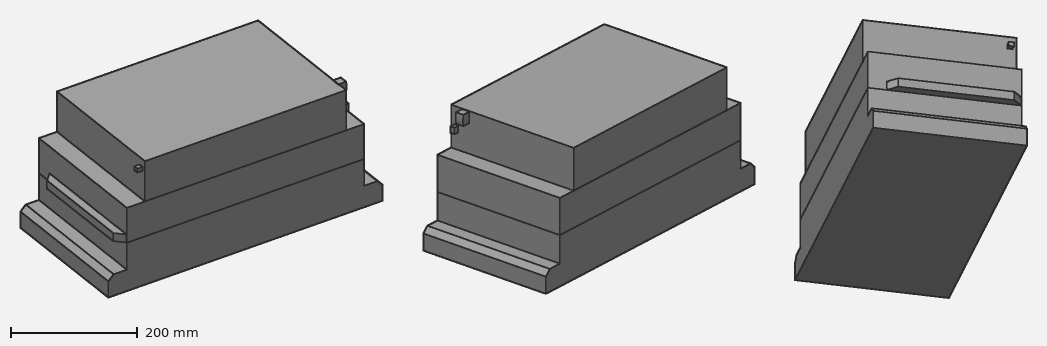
import cadquery as cq

LENGTH = 520.0
WIDTH = 250.0
HEIGHT = 230.0
SIDE_X = WIDTH / 2

FOOT_HEIGHT = 40.0
FOOT_BEVEL = 10.0
FOOT_STEP = 35.0
BASE_HEIGHT = 90.0

MIDDLE_LENGTH = LENGTH - 2 * FOOT_STEP
MIDDLE_TOP = 155.0
UPPER_STEP = 34.5
UPPER_LENGTH = MIDDLE_LENGTH - 2 * UPPER_STEP
MIDDLE_FRONT_Y = -MIDDLE_LENGTH / 2
UPPER_FRONT_Y = -UPPER_LENGTH / 2
UPPER_BACK_Y = UPPER_LENGTH / 2

RAIL_DEPTH = 15.0
RAIL_HEIGHT = 15.0
RAIL_LENGTH = 218.5
RAIL_SIDE_GAP = 1.0

PEG_WIDTH = 8.5
PEG_DEPTH = 10.0
PEG_SIDE_GAP = 7.0
PEG_X = SIDE_X - PEG_SIDE_GAP - PEG_WIDTH / 2
FRONT_PEG_HEIGHT = 7.5
FRONT_PEG_DROP = 14.0
BACK_PEG_HEIGHT = 11.5
BACK_PEG_DROP = 32.0

KNOB_WIDTH = 15.0
KNOB_HEIGHT = 20.0
KNOB_DEPTH = 15.0
KNOB_BULGE = 1.0
KNOB_DROP = 1.0
KNOB_SIDE_GAP = 22.5
KNOB_X = SIDE_X - KNOB_SIDE_GAP - KNOB_WIDTH / 2


def block(width, length, height, center_x, front_y, bottom_z):
    """Rectangular block given by its X centre, front face and underside."""
    box = cq.Workplane("XY").box(width, length, height, centered=(True, False, False))
    return box.translate((center_x, front_y, bottom_z))


def make_base():
    body = block(WIDTH, MIDDLE_LENGTH, BASE_HEIGHT, 0, MIDDLE_FRONT_Y, 0)
    foot = block(WIDTH, LENGTH, FOOT_HEIGHT, 0, -LENGTH / 2, 0)
    foot = foot.faces("<Y or >Y").edges(">Z").chamfer(FOOT_BEVEL)
    return body.union(foot)


def make_middle():
    return block(WIDTH, MIDDLE_LENGTH, MIDDLE_TOP - BASE_HEIGHT, 0, MIDDLE_FRONT_Y, BASE_HEIGHT)


def make_upper():
    return block(WIDTH, UPPER_LENGTH, HEIGHT - MIDDLE_TOP, 0, UPPER_FRONT_Y, MIDDLE_TOP)


def make_rail():
    right_x = SIDE_X - RAIL_SIDE_GAP
    left_x = right_x - RAIL_LENGTH
    outer_y = MIDDLE_FRONT_Y - RAIL_DEPTH
    return (
        cq.Workplane("XY", origin=(0, 0, BASE_HEIGHT))
        .moveTo(left_x, MIDDLE_FRONT_Y)
        .lineTo(left_x + RAIL_DEPTH, outer_y)
        .lineTo(right_x - RAIL_DEPTH, outer_y)
        .lineTo(right_x, MIDDLE_FRONT_Y)
        .close()
        .extrude(RAIL_HEIGHT)
    )


def make_front_peg():
    bottom_z = HEIGHT - FRONT_PEG_DROP - FRONT_PEG_HEIGHT
    return block(PEG_WIDTH, PEG_DEPTH, FRONT_PEG_HEIGHT, PEG_X, UPPER_FRONT_Y - PEG_DEPTH, bottom_z)


def make_back_peg():
    bottom_z = HEIGHT - BACK_PEG_DROP - BACK_PEG_HEIGHT
    return block(PEG_WIDTH, PEG_DEPTH, BACK_PEG_HEIGHT, PEG_X, UPPER_BACK_Y, bottom_z)


def make_knob():
    top_z = HEIGHT - KNOB_DROP
    bottom_z = top_z - KNOB_HEIGHT
    rim_y = UPPER_BACK_Y + KNOB_DEPTH
    bulge_point = (rim_y + KNOB_BULGE, (top_z + bottom_z) / 2)
    return (
        cq.Workplane("YZ", origin=(KNOB_X - KNOB_WIDTH / 2, 0, 0))
        .moveTo(UPPER_BACK_Y, bottom_z)
        .lineTo(rim_y, bottom_z)
        .threePointArc(bulge_point, (rim_y, top_z))
        .lineTo(UPPER_BACK_Y, top_z)
        .close()
        .extrude(KNOB_WIDTH)
    )


base = make_base()
middle = make_middle()
upper = make_upper()
rail = make_rail()
front_peg = make_front_peg()
back_peg = make_back_peg()
knob = make_knob()

result = cq.Compound.makeCompound([
    base.val(),
    middle.val(),
    upper.val(),
    rail.val(),
    front_peg.val(),
    back_peg.val(),
    knob.val(),
])